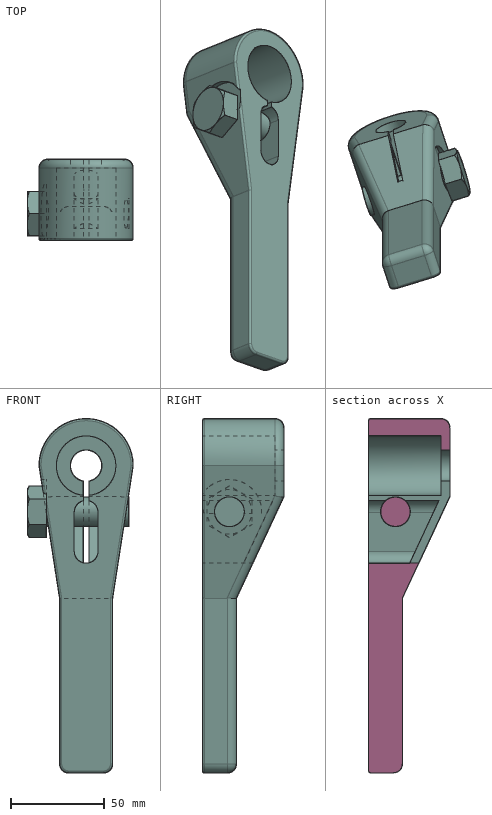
import cadquery as cq
import math


LENGTH = 190.5
EYE_RADIUS = 25.3
EYE_DEPTH = 43.8
HANDLE_WIDTH = 28.5
HANDLE_DEPTH = 18.3
HANDLE_TOP_Z = -71.2
BACK_SLOPE_TOP_Z = -16.5
BACK_FILLET = 5.0
FRONT_FILLET = 1.1
HANDLE_BOTTOM_Z = EYE_RADIUS - LENGTH

SIDE_TAPER = (EYE_RADIUS - HANDLE_WIDTH / 2) / -HANDLE_TOP_Z
BACK_TAPER = (EYE_DEPTH - HANDLE_DEPTH) / (BACK_SLOPE_TOP_Z - HANDLE_TOP_Z)

NECK_OVERLAP = 2
BLOCK_TOP_Z = 2 * EYE_RADIUS
BLOCK_BOTTOM_Z = HANDLE_TOP_Z - NECK_OVERLAP

BORE_RADIUS = 16.0
PILOT_RADIUS = 8.4
BACK_WALL = 5.0
BORE_DEPTH = EYE_DEPTH - BACK_WALL
SLIT_WIDTH = 2.9

POCKET_WIDTH = 12.8
POCKET_TOP_Z = -18.7
POCKET_BOTTOM_Z = -52.4

BOLT_Y = 14.5
BOLT_Z = -24.8
BOLT_RADIUS = 8.0
BOLT_TIP_X = 23.0
HEAD_SIDES = 6
HEAD_FLATS = 24.0
HEAD_HEIGHT = 10.3
HEAD_SEAT_X = -21.3
HEAD_CHAMFER_ANGLE = 30
SEAT_RADIUS = 17.3


def neck_half_width(z):
    """Half the width between the tapering sides at height z."""
    return EYE_RADIUS + SIDE_TAPER * z


def slope_depth(z):
    """Depth of the sloped back plane behind the front face at height z."""
    return EYE_DEPTH + BACK_TAPER * (z - BACK_SLOPE_TOP_Z)


def slope_prism(inset):
    """Prism along X in front of the sloped back plane, which is moved inward by `inset` along Y."""
    return (
        cq.Workplane("YZ")
        .moveTo(0, BLOCK_BOTTOM_Z)
        .lineTo(slope_depth(BLOCK_BOTTOM_Z) - inset, BLOCK_BOTTOM_Z)
        .lineTo(slope_depth(BLOCK_TOP_Z) - inset, BLOCK_TOP_Z)
        .lineTo(0, BLOCK_TOP_Z)
        .close()
        .extrude(2 * EYE_RADIUS, both=True)
    )


def front_cylinder(radius, depth):
    """Cylinder on the eye axis, going back from the front face."""
    return cq.Workplane("XZ").circle(radius).extrude(-depth)


def bolt_plane(x):
    """Plane across the bolt axis, facing +X."""
    return cq.Workplane("YZ", origin=(x, BOLT_Y, BOLT_Z))


def round_rims(block):
    """Round the rim of the front face lightly and the rim of the back face fully."""
    return block.edges("not (|Y or <Y)").fillet(BACK_FILLET).faces("<Y").edges().fillet(FRONT_FILLET)


def eye_block():
    """Round-topped block with upright sides, as deep as the eye."""
    block = (
        cq.Workplane("XZ")
        .moveTo(-EYE_RADIUS, 0)
        .threePointArc((0, EYE_RADIUS), (EYE_RADIUS, 0))
        .lineTo(EYE_RADIUS, BLOCK_BOTTOM_Z)
        .lineTo(-EYE_RADIUS, BLOCK_BOTTOM_Z)
        .close()
        .extrude(-EYE_DEPTH)
    )
    return round_rims(block)


def taper_wedge(depth):
    """Block between the tapering sides of the neck, reaching above and below it."""
    bottom_z = BLOCK_BOTTOM_Z - 2 * BACK_FILLET
    return (
        cq.Workplane("XZ")
        .moveTo(-neck_half_width(BLOCK_TOP_Z), BLOCK_TOP_Z)
        .lineTo(neck_half_width(BLOCK_TOP_Z), BLOCK_TOP_Z)
        .lineTo(neck_half_width(bottom_z), bottom_z)
        .lineTo(-neck_half_width(bottom_z), bottom_z)
        .close()
        .extrude(-depth)
    )


def neck_and_eye():
    """The neck's edges are rounded on two wedges, which meet the eye block in mitres."""
    side_wedge = round_rims(taper_wedge(EYE_DEPTH))
    slope_wedge = taper_wedge(slope_depth(BLOCK_TOP_Z)).intersect(slope_prism(0))
    slope_wedge = slope_wedge.edges("not (|X or |Y or <Y)").fillet(BACK_FILLET)
    return eye_block().intersect(side_wedge).intersect(slope_wedge)


def handle():
    """Straight bar whose upper end is buried in the neck."""
    top_z = HANDLE_TOP_Z + 2 * BACK_FILLET
    bar = (
        cq.Workplane("XZ")
        .center(0, (top_z + HANDLE_BOTTOM_Z) / 2)
        .rect(HANDLE_WIDTH, top_z - HANDLE_BOTTOM_Z)
        .extrude(-HANDLE_DEPTH)
        .edges("|Y and <Z")
        .fillet(BACK_FILLET)
    )
    return round_rims(bar)


def pocket():
    """Round-ended pocket whose floor follows the sloped back of the neck."""
    height = POCKET_TOP_Z - POCKET_BOTTOM_Z
    mid_z = (POCKET_TOP_Z + POCKET_BOTTOM_Z) / 2
    slot = (
        cq.Workplane("XZ")
        .center(0, mid_z)
        .slot2D(height, POCKET_WIDTH, 90)
        .extrude(-BORE_DEPTH)
    )
    return slot.intersect(slope_prism(BACK_WALL))


def slit():
    """Through cut from the eye centre down to where its sides meet the pocket's round end."""
    end_radius = POCKET_WIDTH / 2
    bottom_z = POCKET_BOTTOM_Z + end_radius - math.sqrt(end_radius**2 - (SLIT_WIDTH / 2) ** 2)
    return (
        cq.Workplane("XZ")
        .center(0, bottom_z / 2)
        .rect(SLIT_WIDTH, -bottom_z)
        .extrude(-EYE_DEPTH)
    )


def head_seat():
    """Flat round seat cut into the tapered side for the bolt head."""
    return bolt_plane(HEAD_SEAT_X).circle(SEAT_RADIUS).extrude(-HEAD_HEIGHT)


def bolt():
    """Hex bolt with a corner of its head pointing up and the rim of the head turned to a cone."""
    corner_diameter = HEAD_FLATS / math.cos(math.pi / HEAD_SIDES)
    head = (
        bolt_plane(HEAD_SEAT_X)
        .transformed(rotate=(0, 0, 90))
        .polygon(HEAD_SIDES, corner_diameter)
        .extrude(-HEAD_HEIGHT)
    )
    chamfer_width = (corner_diameter - HEAD_FLATS) / 2
    chamfer_height = chamfer_width * math.tan(math.radians(HEAD_CHAMFER_ANGLE))
    turned_blank = (
        bolt_plane(HEAD_SEAT_X)
        .circle(corner_diameter / 2)
        .extrude(-HEAD_HEIGHT)
        .faces("<X")
        .chamfer(chamfer_height, chamfer_width)
    )
    shank = bolt_plane(HEAD_SEAT_X).circle(BOLT_RADIUS).extrude(BOLT_TIP_X - HEAD_SEAT_X)
    return head.intersect(turned_blank).union(shank)


result = (
    neck_and_eye()
    .union(handle())
    .cut(front_cylinder(BORE_RADIUS, BORE_DEPTH))
    .cut(front_cylinder(PILOT_RADIUS, EYE_DEPTH))
    .cut(pocket())
    .cut(slit())
    .cut(head_seat())
    .union(bolt())
)